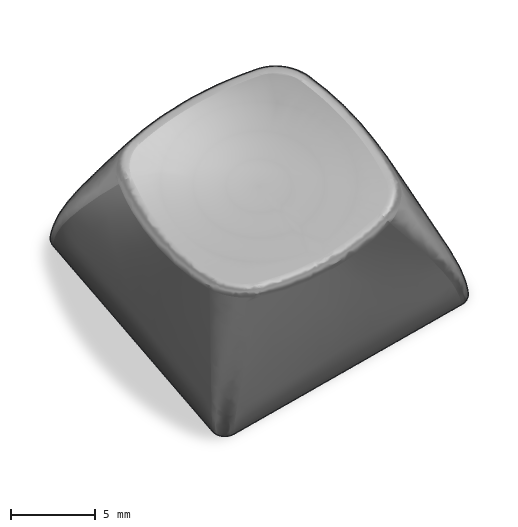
import cadquery as cq
import math

base_half = 9.1
base_corner_radius = 0.91
rim_height = 8.23
rim_half = 7.47
rim_side_radius = 20.58
rim_corner_radius = 2.85
narrowing_power = 2.0
rounding_power = 1.6
blank_height = 9.83
section_count = 5

dish_radius = 36.42
dish_bottom = 8.07
lip_radius = 0.73


def quarter_point(quarter, x, y, height):
    """Point (x, y) turned about Z by the given number of quarter turns."""
    for _ in range(quarter):
        x, y = -y, x
    return cq.Vector(x, y, height)


def section_outline(height):
    """Closed outline of four bulged sides joined by tangent corner arcs."""
    rise = height / rim_height
    half = base_half - (base_half - rim_half) * rise**narrowing_power
    corner = base_corner_radius + (rim_corner_radius - base_corner_radius) * rise**rounding_power
    if rise == 0:
        corner_center = half - corner
        tangent_x, tangent_y = corner_center, half
    else:
        side = rim_side_radius / rise**rounding_power
        side_center = half - side
        reach = side - corner
        corner_center = (side_center + math.sqrt(2 * reach**2 - side_center**2)) / 2
        tangent_x = corner_center * side / reach
        tangent_y = side_center + (corner_center - side_center) * side / reach
    corner_mid = corner_center + corner / math.sqrt(2)

    edges = []
    for quarter in range(4):
        side_start = quarter_point(quarter, tangent_y, -tangent_x, height)
        side_mid = quarter_point(quarter, half, 0, height)
        side_end = quarter_point(quarter, tangent_y, tangent_x, height)
        corner_peak = quarter_point(quarter, corner_mid, corner_mid, height)
        corner_end = quarter_point(quarter, tangent_x, tangent_y, height)
        if rise == 0:
            edges.append(cq.Edge.makeLine(side_start, side_end))
        else:
            edges.append(cq.Edge.makeThreePointArc(side_start, side_mid, side_end))
        edges.append(cq.Edge.makeThreePointArc(side_end, corner_peak, corner_end))
    return cq.Wire.assembleEdges(edges)


heights = [blank_height * i / (section_count - 1) for i in range(section_count)]
body = cq.Workplane(cq.Solid.makeLoft([section_outline(height) for height in heights]))

dish = cq.Workplane().sphere(dish_radius).translate((0, 0, dish_bottom + dish_radius))
body = body.cut(dish)

dish_face = cq.selectors.TypeSelector("SPHERE")
result = body.faces(dish_face).edges().fillet(lip_radius)